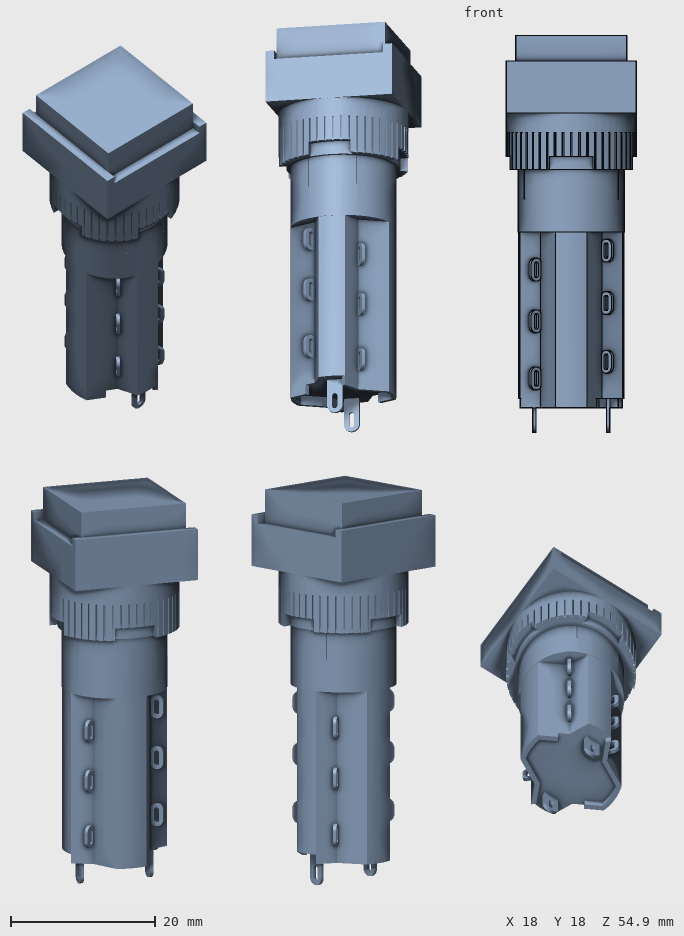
import math

import cadquery as cq

block_bottom_z = 3.4
cavity_roof_z = 4.7
block_top_z = 27.7
slit_bottom_z = 32.25
nut_bottom_z = 36.3
notch_top_z = 38.1
groove_top_z = 41.45
bezel_bottom_z = 44.1
channel_floor_z = 50.1
bezel_top_z = 51.3
cap_top_z = 54.85

bezel_side = 18.0
cap_side = 15.35
cap_clearance = 0.05

barrel_radius = 7.35
slit_offset = 3.4
slit_width = 0.1
slit_depth = 0.55

nut_radius = bezel_side / 2
groove_count = 50
groove_width = 0.245
groove_depth = 0.35
notch_width = 6.0
notch_count = 4
notch_floor_radius = 7.9

block_radius = 7.3
x_lobe_half_width = 1.85
y_lobe_half_width = 2.2
recess_x = 4.3
recess_y = 3.1
wall = 0.65
opening_edge_x = 3.5

terminal_x = 5.1
terminal_width = 2.2
terminal_thickness = 0.5
terminal_hole_width = 0.75
terminal_hole_bottom_z = 0.6
terminal_hole_top_z = 2.75

lug_reach = 1.75
lug_height = 3.2
lug_hole_width = 0.7
lug_hole_height = 2.15
lug_root = 0.1
upper_lug_heights = (9.75, 17.9, 25.1)
lower_lug_heights = (7.45, 15.35, 22.5)


def plate(x_size, y_size, bottom_z, top_z):
    """Upright box centred on the Z axis."""
    return (
        cq.Workplane("XY", origin=(0, 0, bottom_z))
        .rect(x_size, y_size)
        .extrude(top_z - bottom_z)
    )


def disc(radius, bottom_z, top_z):
    """Cylinder on the Z axis."""
    return cq.Workplane("XY", origin=(0, 0, bottom_z)).circle(radius).extrude(top_z - bottom_z)


def make_bezel():
    """Square head with a channel along X that seats the cap."""
    head = plate(bezel_side, bezel_side, bezel_bottom_z, bezel_top_z)
    channel = plate(bezel_side, cap_side + 2 * cap_clearance, channel_floor_z, bezel_top_z)
    return head.cut(channel)


def make_barrel():
    """Round barrel with two slits on each X side, below the nut."""
    barrel = disc(barrel_radius, block_top_z, bezel_bottom_z)
    slit_x = math.sqrt(barrel_radius**2 - slit_offset**2)
    for side_x in (-1, 1):
        for side_y in (-1, 1):
            slit = plate(2 * slit_depth, slit_width, slit_bottom_z, nut_bottom_z)
            barrel = barrel.cut(slit.translate((side_x * slit_x, side_y * slit_offset, 0)))
    return barrel


def block_profile(radius, x_half, y_half, corner_x, corner_y):
    """Closed four-lobed outline with arc lobe ends and V recesses."""
    x_end = math.sqrt(radius**2 - x_half**2)
    y_end = math.sqrt(radius**2 - y_half**2)
    return (
        cq.Workplane("XY", origin=(0, 0, block_bottom_z))
        .moveTo(x_end, -x_half)
        .threePointArc((radius, 0), (x_end, x_half))
        .lineTo(corner_x, corner_y)
        .lineTo(y_half, y_end)
        .threePointArc((0, radius), (-y_half, y_end))
        .lineTo(-corner_x, corner_y)
        .lineTo(-x_end, x_half)
        .threePointArc((-radius, 0), (-x_end, -x_half))
        .lineTo(-corner_x, -corner_y)
        .lineTo(-y_half, -y_end)
        .threePointArc((0, -radius), (y_half, -y_end))
        .lineTo(corner_x, -corner_y)
        .close()
    )


def make_side_opening():
    """Cutter that opens the +X lobe and the recess wall beside it, at the bottom of the block."""
    lobe_x = math.sqrt(block_radius**2 - x_lobe_half_width**2)
    lobe_y = math.sqrt(block_radius**2 - y_lobe_half_width**2)
    run_x = y_lobe_half_width - recess_x
    run_y = recess_y - lobe_y
    run = math.hypot(run_x, run_y)
    along = (run_x / run, run_y / run)
    normal = (-along[1], along[0])
    edge_y = -recess_y + (opening_edge_x - recess_x) * run_y / run_x

    def across_wall(distance):
        """Point on the square-cut wall end, at a distance outward from its outer face."""
        return (opening_edge_x + distance * normal[0], edge_y + distance * normal[1])

    def along_miter(distance):
        """Point on the 45 degree end of the lobe wall, at a distance outward from its corner."""
        return (lobe_x + distance, x_lobe_half_width + distance)

    inside = (opening_edge_x - wall, 0)
    return (
        cq.Workplane("XY", origin=(0, 0, block_bottom_z))
        .polyline(
            [
                inside,
                across_wall(-wall),
                across_wall(block_radius),
                along_miter(block_radius),
                along_miter(-wall),
            ]
        )
        .close()
        .extrude(cavity_roof_z - block_bottom_z)
    )


def make_block():
    """Lobed block with a shallow cavity underneath that is open at both X lobes."""
    outline = (block_radius, x_lobe_half_width, y_lobe_half_width, recess_x, recess_y)
    block = block_profile(*outline).extrude(block_top_z - block_bottom_z)
    cavity = block_profile(*outline).offset2D(-wall, "intersection").extrude(cavity_roof_z - block_bottom_z)
    opening = make_side_opening()
    opposite_opening = opening.rotate((0, 0, 0), (0, 0, 1), 180)
    return block.cut(cavity).cut(opening).cut(opposite_opening)


def make_terminal(x):
    """Flat solder terminal with a round tip and a slotted hole."""
    tip_radius = terminal_width / 2
    hole_height = terminal_hole_top_z - terminal_hole_bottom_z
    hole_middle_z = (terminal_hole_top_z + terminal_hole_bottom_z) / 2
    blade = (
        cq.Workplane("YZ", origin=(x - terminal_thickness / 2, 0, 0))
        .moveTo(-tip_radius, cavity_roof_z)
        .lineTo(-tip_radius, tip_radius)
        .threePointArc((0, 0), (tip_radius, tip_radius))
        .lineTo(tip_radius, cavity_roof_z)
        .close()
        .extrude(terminal_thickness)
    )
    hole = (
        cq.Workplane("YZ", origin=(x - terminal_thickness / 2, 0, hole_middle_z))
        .slot2D(hole_height, terminal_hole_width, 90)
        .extrude(terminal_thickness)
    )
    return blade.cut(hole)


def make_lug(side_x, side_y, middle_z):
    """Upright slot-shaped lug with a slotted hole, standing radially out of one V recess."""
    length = lug_reach + lug_root
    corner_distance = math.hypot(recess_x, recess_y)
    middle_distance = corner_distance - lug_root + length / 2
    lug = (
        cq.Workplane("XZ", origin=(middle_distance, terminal_thickness / 2, middle_z))
        .slot2D(lug_height, length, 90)
        .extrude(terminal_thickness)
    )
    hole = (
        cq.Workplane("XZ", origin=(middle_distance, terminal_thickness / 2, middle_z))
        .slot2D(lug_hole_height, lug_hole_width, 90)
        .extrude(terminal_thickness)
    )
    angle = math.degrees(math.atan2(side_y * recess_y, side_x * recess_x))
    return lug.cut(hole).rotate((0, 0, 0), (0, 0, 1), angle)


def make_housing():
    """Bezel, barrel and contact block with all of its terminals."""
    housing = make_bezel().union(make_barrel()).union(make_block())
    for side in (-1, 1):
        housing = housing.union(make_terminal(side * terminal_x))
        for height in lower_lug_heights:
            housing = housing.union(make_lug(side, side, height))
        for height in upper_lug_heights:
            housing = housing.union(make_lug(side, -side, height))
    return housing


def make_nut():
    """Grooved ring nut with four wrench notches in its lower edge."""
    nut = disc(nut_radius, nut_bottom_z, bezel_bottom_z)
    groove = plate(2 * groove_depth, groove_width, nut_bottom_z, groove_top_z)
    groove = groove.translate((nut_radius, 0, 0))
    for index in range(groove_count):
        angle = -90 + index * 360 / groove_count
        nut = nut.cut(groove.rotate((0, 0, 0), (0, 0, 1), angle))
    notch = plate(nut_radius, notch_width, nut_bottom_z, notch_top_z).translate((nut_radius, 0, 0))
    notch = notch.cut(disc(notch_floor_radius, nut_bottom_z, notch_top_z))
    for index in range(notch_count):
        nut = nut.cut(notch.rotate((0, 0, 0), (0, 0, 1), index * 360 / notch_count))
    return nut.cut(disc(barrel_radius, nut_bottom_z, bezel_bottom_z))


def make_cap():
    """Square push cap that stands on the channel floor of the bezel."""
    return plate(cap_side, cap_side, channel_floor_z, cap_top_z)


housing = make_housing()
nut = make_nut()
cap = make_cap()

result = cq.Compound.makeCompound([housing.val(), nut.val(), cap.val()])